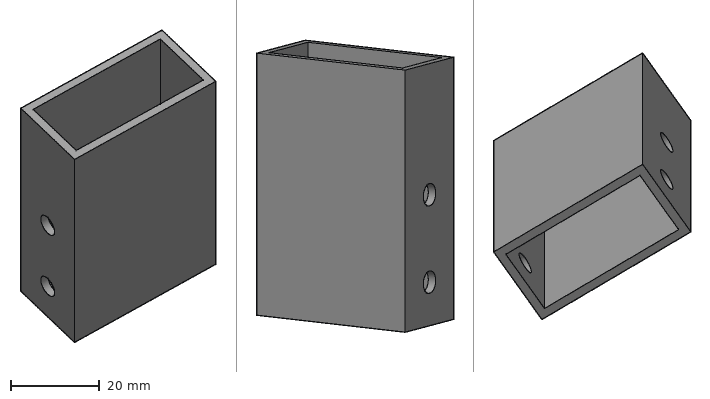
import cadquery as cq

height = 60.0
width = height / 3
depth = 2 * width
wall = width / 10

hole_diameter = 5.1
lower_hole_height = width / 2
upper_hole_height = height / 2


def make_tube():
    """Open-ended tube standing on Z = 0, centred on the Z axis."""
    return (
        cq.Workplane("XY")
        .rect(width, depth)
        .rect(width - 2 * wall, depth - 2 * wall)
        .extrude(height)
    )


def make_cross_hole(hole_height):
    """Cylinder along Y that pierces both narrow walls."""
    return (
        cq.Workplane("XZ")
        .center(0, hole_height)
        .circle(hole_diameter / 2)
        .extrude(depth, both=True)
    )


result = make_tube()
for hole_height in (lower_hole_height, upper_hole_height):
    result = result.cut(make_cross_hole(hole_height))